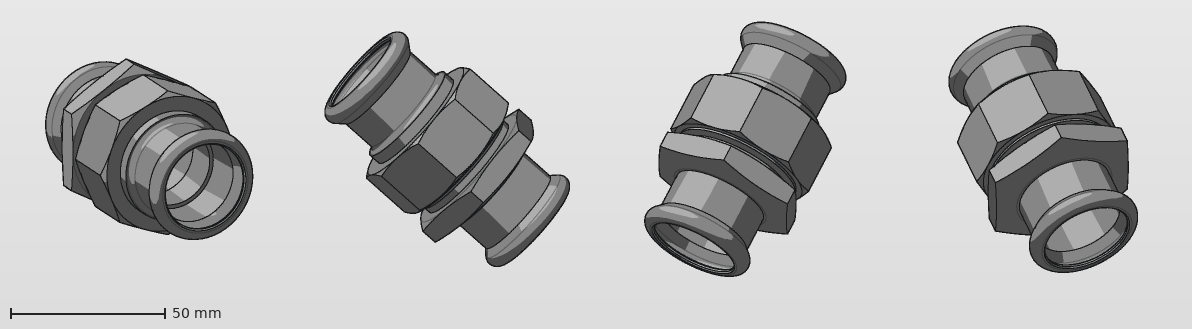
import cadquery as cq
import math

overall_length = 77.0
left_end = -overall_length / 2
right_end = overall_length / 2

tube_radius = 15.7
bead_radius = 3.0
left_bead_run = 4.3
right_bead_run = 4.8

wall = 1.6
seat_radius = tube_radius - wall
lip_bore_radius = 14.5
lip_chamfer = 0.5
socket_depth = 20.8
bore_radius = 12.8

hex_sides = 6
hex_start = -18.55
hex_end = -9.5
hex_corner_radius = 26.6
hex_face_radius = 16.6
hex_cone_angle = 15.0

relief_radius = 19.1
thread_radius = 20.95
thread_start = -7.15
thread_lead_length = 1.15
thread_end = 6.15

nut_sides = 8
nut_start = -5.2
nut_end = 13.85
nut_width = 49.8
nut_corner_radius = nut_width / 2
nut_cone_angle = 30.0

envelope_margin = 0.8

collar_end = 17.6
collar_radius = 18.1
neck_fillet = 1.9

hub_radius = 3.7
hub_start = -9.25
hub_length = 6.15
side_spoke_width = 1.2
lower_spoke_width = 1.8
lower_spoke_setback = 1.55


def revolve_about_x(profile):
    """Turn a closed (x, radius) outline around the X axis."""
    return profile.close().revolve(360, (0, 0, 0), (1, 0, 0))


def cylinder(start, end, radius):
    return cq.Workplane("YZ", origin=(start, 0, 0)).circle(radius).extrude(end - start)


def bead_point(radius, angle):
    """Point at an angle on a circle about the bead centre."""
    return (bead_radius + radius * math.cos(angle), tube_radius + radius * math.sin(angle))


def press_tube(bead_run, length):
    """Solid tube and bead with the open end at X = 0, running toward +X."""
    cone_angle = math.acos(bead_radius / bead_run)
    return revolve_about_x(
        cq.Workplane("XY")
        .lineTo(0, tube_radius)
        .threePointArc(
            (bead_radius, tube_radius + bead_radius),
            bead_point(bead_radius, cone_angle),
        )
        .lineTo(bead_radius + bead_run, tube_radius)
        .lineTo(length, tube_radius)
        .lineTo(length, 0)
    )


def socket_cut(bead_run):
    """Lip, seal groove and seat with the open end at X = 0, running toward +X."""
    cone_angle = math.acos(bead_radius / bead_run)
    groove_radius = bead_radius - wall
    cone_end = bead_radius + (groove_radius + wall * math.sin(cone_angle)) / math.cos(cone_angle)
    lip_face_radius = lip_bore_radius + lip_chamfer
    return revolve_about_x(
        cq.Workplane("XY")
        .lineTo(0, lip_face_radius)
        .lineTo(lip_chamfer, lip_bore_radius)
        .lineTo(wall - lip_chamfer, lip_bore_radius)
        .lineTo(wall, lip_face_radius)
        .lineTo(wall, tube_radius)
        .threePointArc(
            (bead_radius, tube_radius + groove_radius),
            bead_point(groove_radius, cone_angle),
        )
        .lineTo(cone_end, seat_radius)
        .lineTo(socket_depth, seat_radius)
        .lineTo(socket_depth, 0)
    )


def at_left(shape):
    return shape.translate((left_end, 0, 0))


def at_right(shape):
    return shape.mirror("YZ").translate((right_end, 0, 0))


def polygon_prism(sides, corner_radius, start, end, first_corner_angle):
    return (
        cq.Workplane("YZ", origin=(start, 0, 0))
        .transformed(rotate=(0, 0, first_corner_angle))
        .polygon(sides, 2 * corner_radius)
        .extrude(end - start)
    )


def double_cone(start, end, corner_radius, start_radius, end_radius, angle):
    """Turned envelope that bevels the corners of a prism at both ends."""
    slope = math.tan(math.radians(angle))
    outer = corner_radius + envelope_margin
    return revolve_about_x(
        cq.Workplane("XY")
        .moveTo(start, 0)
        .lineTo(start, start_radius)
        .lineTo(start + (outer - start_radius) * slope, outer)
        .lineTo(end - (outer - end_radius) * slope, outer)
        .lineTo(end, end_radius)
        .lineTo(end, 0)
    )


def left_hexagon():
    flat_radius = hex_corner_radius * math.cos(math.pi / hex_sides)
    prism = polygon_prism(hex_sides, hex_corner_radius, hex_start, hex_end, 90)
    return prism.intersect(
        double_cone(hex_start, hex_end, hex_corner_radius, hex_face_radius, flat_radius, hex_cone_angle)
    )


def threaded_spigot():
    relief = cylinder(hex_end, thread_start, relief_radius)
    thread = revolve_about_x(
        cq.Workplane("XY")
        .moveTo(thread_start, 0)
        .lineTo(thread_start, relief_radius)
        .lineTo(thread_start + thread_lead_length, thread_radius)
        .lineTo(thread_end, thread_radius)
        .lineTo(thread_end, 0)
    )
    return relief.union(thread)


def hub_with_spokes():
    hub = cylinder(hub_start, hub_start + hub_length, hub_radius)
    spoke_reach = (bore_radius + seat_radius) / 2
    side_spoke = cq.Workplane("XY").box(
        hub_length, spoke_reach, side_spoke_width, centered=(False, False, True)
    ).translate((hub_start, -spoke_reach, 0))
    lower_spoke = cq.Workplane("XY").box(
        hub_length - lower_spoke_setback, lower_spoke_width, spoke_reach, centered=(False, True, False)
    ).translate((hub_start + lower_spoke_setback, 0, -spoke_reach))
    return hub.union(side_spoke).union(lower_spoke)


def make_left_body():
    body = at_left(press_tube(left_bead_run, hex_start - left_end))
    body = body.union(left_hexagon()).union(threaded_spigot())
    body = body.cut(cylinder(left_end, thread_end, bore_radius)).cut(at_left(socket_cut(left_bead_run)))
    return body.union(hub_with_spokes())


def union_nut():
    flat_radius = nut_corner_radius * math.cos(math.pi / nut_sides)
    prism = polygon_prism(nut_sides, nut_corner_radius, nut_start, nut_end, 0)
    return prism.intersect(
        double_cone(nut_start, nut_end, nut_corner_radius, flat_radius, flat_radius, nut_cone_angle)
    )


def neck():
    """Concave fillet from the collar face down to the tube."""
    return revolve_about_x(
        cq.Workplane("XY")
        .moveTo(collar_end, 0)
        .lineTo(collar_end, tube_radius + neck_fillet)
        .radiusArc((collar_end + neck_fillet, tube_radius), -neck_fillet)
        .lineTo(collar_end + neck_fillet, 0)
    )


def make_right_body():
    body = at_right(press_tube(right_bead_run, right_end - collar_end))
    body = body.union(neck()).union(cylinder(nut_end, collar_end, collar_radius)).union(union_nut())
    body = body.cut(cylinder(nut_start, thread_end, thread_radius))
    return body.cut(cylinder(thread_end, right_end, bore_radius)).cut(at_right(socket_cut(right_bead_run)))


left_body = make_left_body()
right_body = make_right_body()
result = cq.Compound.makeCompound([left_body.val(), right_body.val()])